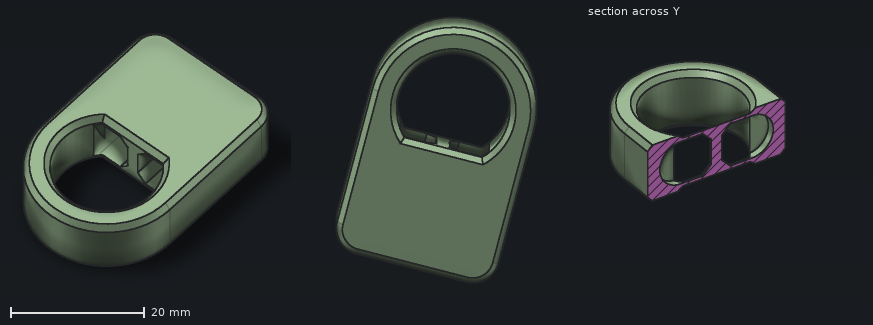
import cadquery as cq

width = 25.0
length = 37.5
thickness = 10.0
corner_radius = 4.0
edge_chamfer = 0.9

bore_radius = 8.5
bore_flat_y = 6.0

channel_radius = 3.7
channel_axis_x = 6.5
channel_corner = 1.5
channel_start_y = 5.0
web_thickness = 2.0

barb_tip_x = 7.75
barb_depth = 2.5

ring_radius = width / 2
tab_end_y = length - ring_radius
mid_z = thickness / 2
web_side_x = web_thickness / 2
channel_outer_x = channel_axis_x + channel_radius
barb_shoulder_y = bore_flat_y + barb_depth


def make_body():
    blank = (
        cq.Workplane("XY")
        .moveTo(-ring_radius, 0)
        .threePointArc((0, -ring_radius), (ring_radius, 0))
        .lineTo(ring_radius, tab_end_y)
        .lineTo(-ring_radius, tab_end_y)
        .close()
        .extrude(thickness)
        .edges("|Z and >Y")
        .fillet(corner_radius)
    )
    body = blank.cut(make_bore())
    return body.faces("<Z or >Z").chamfer(edge_chamfer)


def make_bore():
    flat_half_width = (bore_radius**2 - bore_flat_y**2) ** 0.5
    return (
        cq.Workplane("XY")
        .moveTo(-flat_half_width, bore_flat_y)
        .threePointArc((0, -bore_radius), (flat_half_width, bore_flat_y))
        .close()
        .extrude(thickness)
    )


def make_channel(side):
    """Channel with a round outer wall and bevelled corners at the web; side is -1 or 1."""
    low_z = mid_z - channel_radius
    high_z = mid_z + channel_radius
    bevel_x = web_side_x + channel_corner
    return (
        cq.Workplane("XZ", origin=(0, channel_start_y, 0))
        .moveTo(side * channel_axis_x, low_z)
        .threePointArc((side * channel_outer_x, mid_z), (side * channel_axis_x, high_z))
        .lineTo(side * bevel_x, high_z)
        .lineTo(side * web_side_x, high_z - channel_corner)
        .lineTo(side * web_side_x, low_z + channel_corner)
        .lineTo(side * bevel_x, low_z)
        .close()
        .extrude(channel_start_y - tab_end_y)
    )


def make_barb(side):
    """Wedge with a flat shoulder facing the bore and a 45 degree ramp behind it."""
    ramp_length = channel_outer_x - barb_tip_x
    return (
        cq.Workplane("XY")
        .moveTo(side * barb_tip_x, barb_shoulder_y)
        .lineTo(side * channel_outer_x, barb_shoulder_y)
        .lineTo(side * channel_outer_x, barb_shoulder_y + ramp_length)
        .close()
        .extrude(thickness)
    )


result = make_body()
for side in (-1, 1):
    result = result.cut(make_channel(side).cut(make_barb(side)))